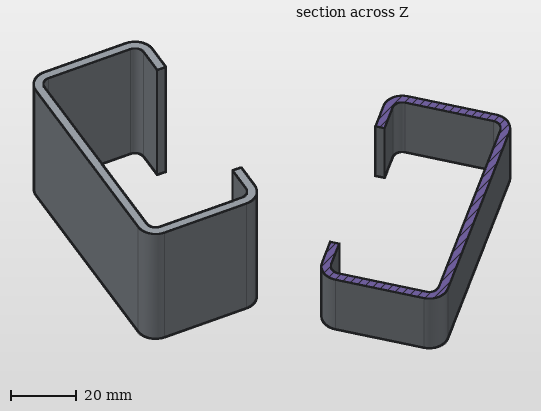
import cadquery as cq

width = 80.0
depth = 40.0
length = 44.0
wall = 3.0
inner_radius = 3.0
outer_radius = inner_radius + wall
mouth_width = 50.0


def rounded_block(size_x, size_y, corner_radius):
    """Block centred on the Z axis with rounded vertical edges."""
    return (
        cq.Workplane("XY")
        .rect(size_x, size_y)
        .extrude(length)
        .edges("|Z")
        .fillet(corner_radius)
    )


def closed_tube():
    """Rectangular tube of constant wall thickness."""
    outside = rounded_block(width, depth, outer_radius)
    inside = rounded_block(width - 2 * wall, depth - 2 * wall, inner_radius)
    return outside.cut(inside)


def mouth():
    """Block that opens the +Y wall and leaves a lip on each side."""
    return (
        cq.Workplane("XY")
        .center(0, depth / 2)
        .rect(mouth_width, 2 * wall)
        .extrude(length)
    )


result = closed_tube().cut(mouth())